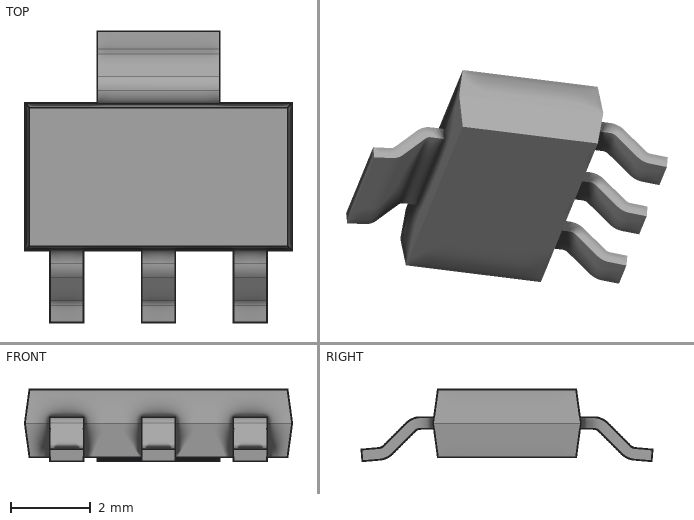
import cadquery as cq
import math

body_length = 6.7
body_width = 3.7
body_bottom = 0.1
parting_height = 0.955
body_top = 1.8
draft_inset = 0.12

overall_width = 7.3
lead_width = 0.85
lead_pitch = 2.3
tab_width = 3.08
thickness = 0.3
inner_radius = 0.2
outer_radius = inner_radius + thickness
shoulder_height = 1.11
shoulder_reach = 2.37
slope_angle = 45.0
foot_angle = 5.0
embed_depth = 0.365

foot_tip = (overall_width / 2, thickness * math.cos(math.radians(foot_angle)))
foot_fall = math.tan(math.radians(foot_angle))
slope_fall = math.tan(math.radians(slope_angle))
foot_line_at_shoulder = foot_tip[1] + (foot_tip[0] - shoulder_reach) * foot_fall
slope_run = (shoulder_height - foot_line_at_shoulder) / (slope_fall - foot_fall)
shoulder = (shoulder_reach, shoulder_height)
heel = (shoulder_reach + slope_run, shoulder_height - slope_run * slope_fall)


def lower_corner(upper, fall_before, fall_after):
    """Point on the lower face below an upper-face corner, given the fall angles on both sides."""
    mean_fall = math.radians((fall_before + fall_after) / 2)
    half_turn = math.radians((fall_after - fall_before) / 2)
    distance = thickness / math.cos(half_turn)
    return (
        upper[0] - distance * math.sin(mean_fall),
        upper[1] - distance * math.cos(mean_fall),
    )


def gull_wing(width):
    """Bent lead pointing toward +Y, centred on X = 0."""
    root = body_width / 2 - embed_depth
    shoulder_under = lower_corner(shoulder, 0, slope_angle)
    heel_under = lower_corner(heel, slope_angle, foot_angle)
    outline = [
        (root, shoulder_height),
        shoulder,
        heel,
        foot_tip,
        lower_corner(foot_tip, foot_angle, foot_angle),
        heel_under,
        shoulder_under,
        (root, shoulder_height - thickness),
    ]
    lead = cq.Workplane("YZ").polyline(outline).close().extrude(width / 2, both=True)
    bends = [
        (shoulder, outer_radius),
        (shoulder_under, inner_radius),
        (heel, inner_radius),
        (heel_under, outer_radius),
    ]
    for corner, radius in bends:
        nearest_edge = cq.selectors.NearestToPointSelector((0, *corner))
        lead = lead.edges("|X").edges(nearest_edge).fillet(radius)
    return lead


def body_half(end_height):
    """Half of the body, tapering from the parting plane to end_height."""
    return (
        cq.Workplane("XY", origin=(0, 0, parting_height))
        .rect(body_length, body_width)
        .workplane(offset=end_height - parting_height)
        .rect(body_length - 2 * draft_inset, body_width - 2 * draft_inset)
        .loft(ruled=True)
    )


result = body_half(body_top).union(body_half(body_bottom))

result = result.union(gull_wing(tab_width))

lead = gull_wing(lead_width).rotate((0, 0, 0), (0, 0, 1), 180)
for position in (-1, 0, 1):
    result = result.union(lead.translate((position * lead_pitch, 0, 0)))